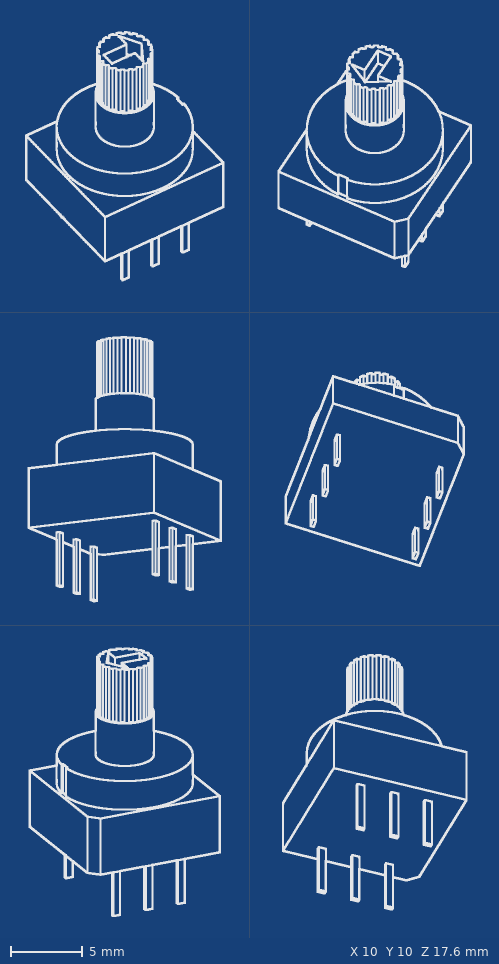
import cadquery as cq

total_height = 17.6
body_width = 10.0

pin_length = 3.84
body_height = 4.3
dial_height = 2.18
neck_height = 3.24

body_bottom = pin_length
body_top = body_bottom + body_height
dial_top = body_top + dial_height
neck_top = dial_top + neck_height

corner_chamfer = 0.7

dial_diameter = 9.57
notch_width = 0.74
notch_radial_depth = 0.14

neck_diameter = 4.1
knurl_diameter = 3.92
groove_count = 21
groove_radius = 0.14

arrow_tip_y = 1.43
arrow_shoulder_y = 0.51
arrow_tail_y = -1.43
arrow_head_width = 3.17
arrow_stem_width = 1.05
arrow_depth = 1.5

row_spacing = 7.62
pin_pitch = 2.53
pins_per_row = 3
pin_thickness = 0.25
pin_width = 0.53


def make_housing():
    """Square block with one vertical corner chamfered."""
    block = (
        cq.Workplane("XY")
        .workplane(offset=body_bottom)
        .rect(body_width, body_width)
        .extrude(body_height)
    )
    return block.edges("|Z and <X and >Y").chamfer(corner_chamfer)


def make_dial():
    """Round dial with a full-height, flat-bottomed notch in its +Y rim."""
    dial = (
        cq.Workplane("XY")
        .workplane(offset=body_top)
        .circle(dial_diameter / 2)
        .extrude(dial_height)
    )
    notch = (
        cq.Workplane("XY")
        .workplane(offset=body_top)
        .center(0, dial_diameter / 2)
        .rect(notch_width, 2 * notch_radial_depth)
        .extrude(dial_height)
    )
    return dial.cut(notch)


def make_shaft():
    """Plain neck below a fluted grip."""
    neck = (
        cq.Workplane("XY")
        .workplane(offset=dial_top)
        .circle(neck_diameter / 2)
        .extrude(neck_height)
    )
    grip_height = total_height - neck_top
    grip = (
        cq.Workplane("XY")
        .workplane(offset=neck_top)
        .circle(knurl_diameter / 2)
        .extrude(grip_height)
    )
    grooves = (
        cq.Workplane("XY")
        .workplane(offset=neck_top)
        .polarArray(knurl_diameter / 2, -90, 360, groove_count)
        .circle(groove_radius)
        .extrude(grip_height)
    )
    return neck.union(grip.cut(grooves))


def make_arrow_slot():
    """Arrow pointing to +Y, sunk from the shaft end."""
    half_head = arrow_head_width / 2
    half_stem = arrow_stem_width / 2
    outline = [
        (0, arrow_tip_y),
        (half_head, arrow_shoulder_y),
        (half_stem, arrow_shoulder_y),
        (half_stem, arrow_tail_y),
        (-half_stem, arrow_tail_y),
        (-half_stem, arrow_shoulder_y),
        (-half_head, arrow_shoulder_y),
    ]
    return (
        cq.Workplane("XY")
        .workplane(offset=total_height - arrow_depth)
        .polyline(outline)
        .close()
        .extrude(arrow_depth)
    )


def make_pins():
    """Flat terminal pins below the housing."""
    return (
        cq.Workplane("XY")
        .rarray(row_spacing, pin_pitch, 2, pins_per_row)
        .rect(pin_thickness, pin_width)
        .extrude(pin_length)
    )


result = (
    make_housing()
    .union(make_dial())
    .union(make_shaft())
    .union(make_pins())
    .cut(make_arrow_slot())
)